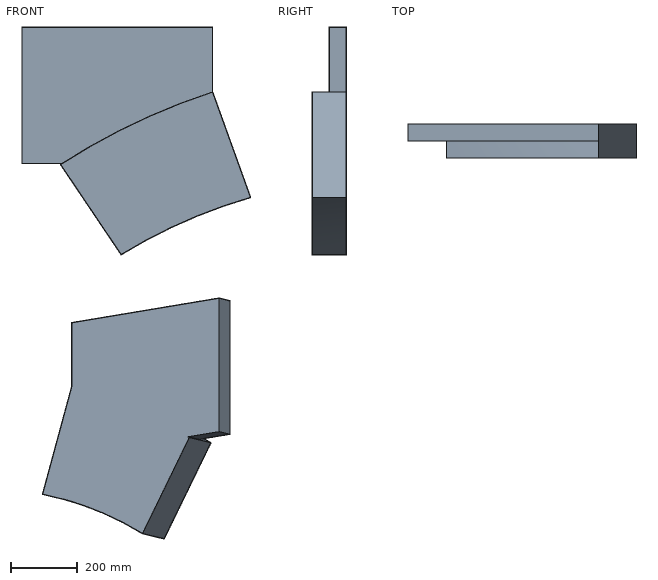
import cadquery as cq
import math

plate_width = 570.0
plate_height = 407.5
plate_thickness = 51.0

block_thickness = 102.0
upper_left = (115.5, -410.0)
upper_right = (plate_width, -193.5)
lower_right = (684.0, -509.0)
lower_left = (297.0, -680.0)
upper_arc_rise = 16.5
lower_arc_rise = 14.5


def arc_crown(left, right, rise):
    """Highest point of an arc above the chord from its left to its right end."""
    span_x = right[0] - left[0]
    span_z = right[1] - left[1]
    chord = math.hypot(span_x, span_z)
    middle_x = (left[0] + right[0]) / 2
    middle_z = (left[1] + right[1]) / 2
    return (middle_x - rise * span_z / chord, middle_z + rise * span_x / chord)


def make_plate():
    return cq.Workplane("XY").box(
        plate_width, plate_thickness, plate_height, centered=False
    ).translate((0, -plate_thickness, -plate_height))


def make_block():
    return (
        cq.Workplane("XZ")
        .moveTo(*upper_left)
        .threePointArc(arc_crown(upper_left, upper_right, upper_arc_rise), upper_right)
        .lineTo(*lower_right)
        .threePointArc(arc_crown(lower_left, lower_right, lower_arc_rise), lower_left)
        .close()
        .extrude(block_thickness)
    )


result = make_plate().union(make_block())